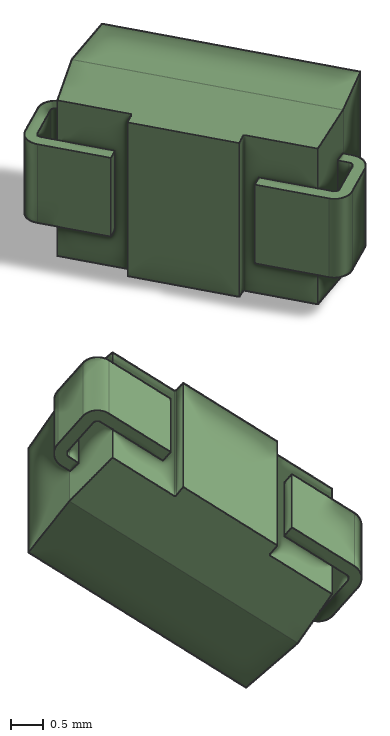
import cadquery as cq
import math

body_length = 4.4
body_height = 3.11
draft_angle = 5.0
back_depth = 1.2
front_depth = 1.205

standoff_width = 1.81
step_depth = 0.995
root_radius = 0.02

lead_span = 5.3
lead_width = 1.485
lead_thickness = 0.2
lead_top = -0.015
lead_bottom = -1.23
lead_tip_x = 1.165
bend_radius = 0.285
lead_embed = 0.21


def drafted_half(depth, direction):
    """Half of the body, narrowing away from the parting plane along Y."""
    inset = depth * math.tan(math.radians(draft_angle))
    return (
        cq.Workplane("XZ")
        .rect(body_length, body_height)
        .workplane(offset=-direction * depth)
        .rect(body_length - 2 * inset, body_height - 2 * inset)
        .loft(ruled=True)
    )


def step_cut(side):
    """Material beside the standoff, with a small radius at its root."""
    cut_length = (body_length - standoff_width) / 2
    cut_depth = front_depth - step_depth
    cutter = cq.Workplane("XY").box(
        cut_length, cut_depth, body_height, centered=(False, False, True)
    )
    cutter = cutter.edges(">Y and <X").fillet(root_radius)
    cutter = cutter.translate((standoff_width / 2, -front_depth, 0))
    return cutter if side > 0 else cutter.mirror("YZ")


def lead(side):
    """C-shaped strip leaving the body side and folding under its front."""
    outer_x = lead_span / 2
    inner_x = outer_x - lead_thickness
    buried_x = body_length / 2 - lead_embed
    strip = (
        cq.Workplane("XY")
        .workplane(offset=-lead_width / 2)
        .moveTo(buried_x, lead_top)
        .lineTo(outer_x, lead_top)
        .lineTo(outer_x, lead_bottom)
        .lineTo(lead_tip_x, lead_bottom)
        .lineTo(lead_tip_x, lead_bottom + lead_thickness)
        .lineTo(inner_x, lead_bottom + lead_thickness)
        .lineTo(inner_x, lead_top - lead_thickness)
        .lineTo(buried_x, lead_top - lead_thickness)
        .close()
        .extrude(lead_width)
    )
    strip = strip.edges("|Z and >X").fillet(bend_radius)
    inner_corners = cq.selectors.BoxSelector(
        (inner_x - lead_thickness / 2, lead_bottom, -lead_width),
        (inner_x + lead_thickness / 2, lead_top, lead_width),
    )
    strip = strip.edges("|Z").edges(inner_corners).fillet(bend_radius - lead_thickness)
    return strip if side > 0 else strip.mirror("YZ")


result = drafted_half(back_depth, 1).union(drafted_half(front_depth, -1))
for side in (-1, 1):
    result = result.cut(step_cut(side)).union(lead(side))